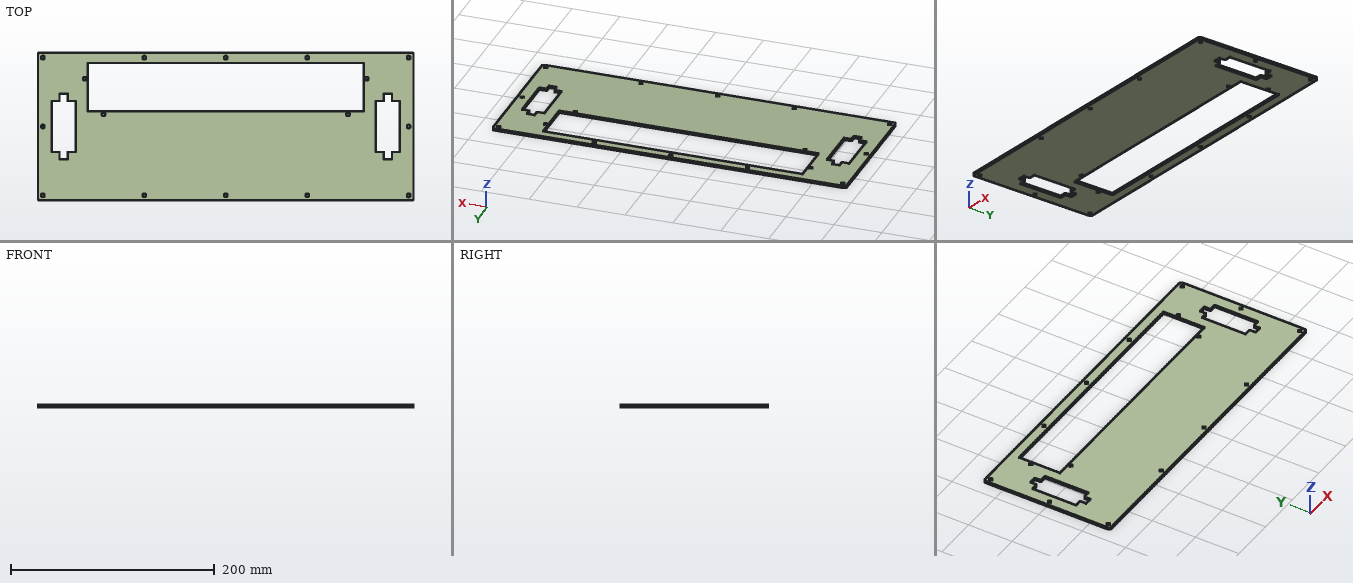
import cadquery as cq

PLATE_LENGTH = 369.06
PLATE_WIDTH = 145.23
PLATE_THICKNESS = 2.5
CORNER_RADIUS = 2.0

WINDOW_LENGTH = 270.8
WINDOW_WIDTH = 47.0
WINDOW_CENTER_Y = 38.6

CUTOUT_CENTER_X = 159.1
CUTOUT_BODY_LENGTH = 23.3
CUTOUT_BODY_WIDTH = 50.0
CUTOUT_NECK_LENGTH = 8.0
CUTOUT_OVERALL_WIDTH = 64.0

HOLE_DIAMETER = 3.2
EDGE_HOLE_INSET = 5.0
EDGE_HOLE_PITCH_X = 80.0
WINDOW_SIDE_HOLE_X = 138.4
WINDOW_SIDE_HOLE_Y = 46.8
WINDOW_LOWER_HOLE_X = 120.0
WINDOW_LOWER_HOLE_GAP = 3.1


def make_plate():
    plate = cq.Workplane("XY").box(PLATE_LENGTH, PLATE_WIDTH, PLATE_THICKNESS)
    return plate.edges("|Z").fillet(CORNER_RADIUS)


def through_box(length, width, center_x, center_y):
    """Cutting block, thicker than the plate so that it passes right through."""
    block = cq.Workplane("XY").box(length, width, 2 * PLATE_THICKNESS)
    return block.translate((center_x, center_y, 0))


def cross_cutout(center_x):
    body = through_box(CUTOUT_BODY_LENGTH, CUTOUT_BODY_WIDTH, center_x, 0)
    neck = through_box(CUTOUT_NECK_LENGTH, CUTOUT_OVERALL_WIDTH, center_x, 0)
    return body.union(neck)


def edge_hole_points():
    """Three holes along each short edge and three more along each long edge."""
    end_x = PLATE_LENGTH / 2 - EDGE_HOLE_INSET
    side_y = PLATE_WIDTH / 2 - EDGE_HOLE_INSET
    short_edges = [(x, y) for x in (-end_x, end_x) for y in (-side_y, 0, side_y)]
    columns = (-EDGE_HOLE_PITCH_X, 0, EDGE_HOLE_PITCH_X)
    long_edges = [(x, y) for x in columns for y in (-side_y, side_y)]
    return short_edges + long_edges


def window_hole_points():
    """One hole beside each end of the window and two below its lower edge."""
    lower_y = WINDOW_CENTER_Y - WINDOW_WIDTH / 2 - WINDOW_LOWER_HOLE_GAP
    points = []
    for side in (-1, 1):
        points.append((side * WINDOW_SIDE_HOLE_X, WINDOW_SIDE_HOLE_Y))
        points.append((side * WINDOW_LOWER_HOLE_X, lower_y))
    return points


plate = make_plate()
plate = plate.cut(through_box(WINDOW_LENGTH, WINDOW_WIDTH, 0, WINDOW_CENTER_Y))
for side in (-1, 1):
    plate = plate.cut(cross_cutout(side * CUTOUT_CENTER_X))

hole_points = edge_hole_points() + window_hole_points()
result = plate.faces(">Z").workplane(origin=(0, 0, 0)).pushPoints(hole_points).hole(HOLE_DIAMETER)